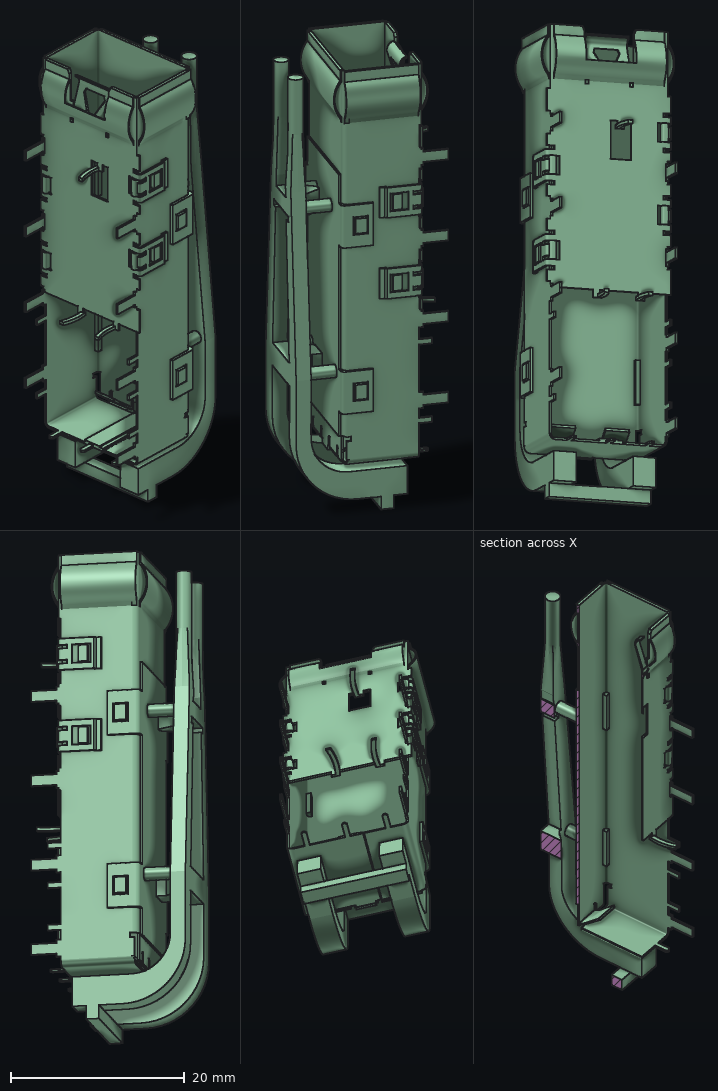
import cadquery as cq
import math


OVERLAP = 0.1
SHEET_CHAMFER = 0.2

HALF_WIDTH = 7.2
DEPTH = 9.2
HEIGHT = 48.74
TOTAL_HEIGHT = 54.9
WALL = 0.25
BEND_RADIUS = 0.8
INNER_BEND_RADIUS = 0.35
FLOOR_BACK = 8.7
WALL_BOTTOM = 0.45
FOOT_HALF = 1.2
RELIEF_X = 6.6
RELIEF_TOP = 3.6
RELIEF_HOLE = 0.55
FOOT_DROP = 0.12

PLATE = 0.25
PLATE_BOTTOM = 17.9
PLATE_EAR = 7.58
EAR_TOP = 41.2

PIN_TIP = -3.5
PIN_ROOT = 0.2
PIN_WIDTH = 1.27
PIN_SHOULDER_WIDTH = 2.0
PIN_SHOULDER_TIP = -0.5
PIN_GAP = 2.7
PIN_PITCH = 10
LONG_PINS = {-1: [7.2 + PIN_PITCH * i for i in range(4)],
             1: [2.2 + PIN_PITCH * i for i in range(4)]}
SHORT_PINS = {-1: [4.7, 14.4], 1: [4.7, 9.7, 14.4]}
SHORT_PIN_TIP = -1.55
SHORT_PIN_WIDTH = 0.65
HOOKS = {-1: [22.2, 32.2], 1: [27.2, 36.9]}
HOOK_WIDTH = 3.7
HOOK_OUTER = 7.73
HOOK_TOP_Y = 4.82

COLLAR = 0.16
COLLAR_BOTTOM = 42.35
COLLAR_RIM = 47.5
BOW_BOTTOM = 42.85
BOW_PEAK = 8.145
BOW_RISE = BOW_PEAK - HALF_WIDTH
BOW_SHEET = 0.13
BOW_HALF_WIDTH = 6.75
LATCH_CUT_HALF = 3.06
LATCH_CUT_BOTTOM = 44.67
LATCH_HALF = 2.6

COVER = 0.23
COVER_BOTTOM, COVER_TOP = 3.5, 35.8
FLAP_OUTER = 7.56
FLAP_FRONT = 5.6
FLAP_HEIGHT = 5.2
FLAP_CENTERS = [9.2, 29.7]

BAIL_OUTER, BAIL_INNER = 14.5, 12.7
BAIL_TOP_Z, BAIL_LOW_Z = -1.08, -4.56
BAIL_END_Y = 1.13
BAIL_BOTTOM = HEIGHT - TOTAL_HEIGHT
BAIL_OUTER_RADIUS, BAIL_INNER_RADIUS = 7.4, 4.6
RAIL_OUT, RAIL_IN = 6.25, 3.48
ARM_LOW, ARM_HIGH = 10.8, 33.25
ROD_START, ROD_TOP = 40.2, 47.0
ROD_X = 2.97
ARM_TOP_WIDTH = 2.2
POST_RADIUS = 0.76


def block(x0, x1, y0, y1, z0, z1):
    """Box between two opposite corners, given in any order along each axis."""
    size = (abs(x1 - x0), abs(y1 - y0), abs(z1 - z0))
    center = ((x0 + x1) / 2, (y0 + y1) / 2, (z0 + z1) / 2)
    return cq.Workplane("XY").box(*size).translate(center)


def side_profile(x0, x1):
    """Workplane with local axes Y, Z at x0, and the extrusion length to x1."""
    return cq.Workplane("YZ", origin=(x0, 0, 0)), x1 - x0


def mirrored(half):
    """Full outline from its right half, mirrored across X = 0."""
    return half + [(-x, v) for x, v in reversed(half)]


def plan_prism(points, z0, z1):
    """Prism standing on an XY outline."""
    return cq.Workplane("XY", origin=(0, 0, z0)).polyline(points).close().extrude(z1 - z0)


def rounded_core(half_x, front, back, bottom, top, radius):
    """Block rounded at its back corners and, separately, at the two side edges of its floor."""
    plan = block(-half_x, half_x, front, back, bottom, top).edges("|Z and >Y").fillet(radius)
    across = block(-half_x, half_x, front, back, bottom, top).edges("|Y and <Z").fillet(radius)
    return plan.intersect(across)


def cage_shell():
    """Sheet metal box open at the mouth and the pin side, with relieved lower back corners."""
    inner_back = DEPTH - WALL
    outer = rounded_core(HALF_WIDTH, 0, DEPTH, 0, HEIGHT, BEND_RADIUS)
    inner = rounded_core(HALF_WIDTH - WALL, -1, inner_back, WALL, HEIGHT + 1, INNER_BEND_RADIUS)
    shell = outer.cut(inner)
    for side in (-1, 1):
        edge = side * HALF_WIDTH
        shell = shell.cut(block(side * RELIEF_X, edge, FLOOR_BACK, DEPTH, 0, RELIEF_TOP))
        shell = shell.cut(block(side * RELIEF_X, edge, FLOOR_BACK - RELIEF_HOLE, DEPTH,
                                RELIEF_TOP - RELIEF_HOLE, RELIEF_TOP))
        shell = shell.union(block(side * (HALF_WIDTH - WALL), edge, DEPTH - BEND_RADIUS, FLOOR_BACK,
                                  BEND_RADIUS, RELIEF_TOP - RELIEF_HOLE))
        shell = shell.cut(block(side * FOOT_HALF, edge, FLOOR_BACK, DEPTH, 0, WALL_BOTTOM))
    return shell.union(block(-FOOT_HALF, FOOT_HALF, inner_back, DEPTH, -FOOT_DROP, WALL_BOTTOM))


SEAM_LEFT, SEAM_STEP, SEAM_RIGHT = -1.05, 1.25, 1.8
SEAM_GROOVE = 0.15


def add_floor_seam(body):
    """Stepped upper leaf of the floor seam with a groove along its right edge."""
    body = body.union(block(SEAM_LEFT, SEAM_STEP, 0, FLOOR_BACK, WALL / 2, 2 * WALL))
    body = body.union(block(SEAM_STEP, SEAM_RIGHT, 0, FLOOR_BACK, WALL / 2, 1.5 * WALL))
    return body.cut(block(SEAM_RIGHT, SEAM_RIGHT + SEAM_GROOVE, 0, FLOOR_BACK, WALL / 2, WALL))


LATCH_TAB_X = 3.3
LATCH_TAB_HALF = 1.46
TAB_SLIT_HALF = 1.91
TAB_SLIT_TOP = 1.75
TAB_TIP_Y, TAB_TIP_Z = 6.0, 3.05
TAB_ROOT_Z, TAB_ELBOW = 0.7, (8.1, 1.35)
TAB_SHEET = 0.3
TAB_TIP_BEVEL = 0.1


def add_back_tabs(body):
    """Spring tabs hanging between slits in the back wall and folded up into the cage."""
    for side in (-1, 1):
        center = side * LATCH_TAB_X
        left, right = center - LATCH_TAB_HALF, center + LATCH_TAB_HALF
        slits = block(center - TAB_SLIT_HALF, center + TAB_SLIT_HALF,
                      DEPTH - WALL, DEPTH, 0, TAB_SLIT_TOP)
        slits = slits.edges("|Y and >Z").chamfer(SHEET_CHAMFER)
        body = body.cut(slits.cut(block(left, right, 0, DEPTH, 0, TAB_SLIT_TOP)))
        elbow_y, elbow_z = TAB_ELBOW
        plane, length = side_profile(left, right)
        tab = (plane.moveTo(DEPTH, TAB_ROOT_Z - TAB_SHEET)
               .lineTo(DEPTH, TAB_ROOT_Z)
               .lineTo(DEPTH - WALL, TAB_ROOT_Z + TAB_SHEET / 2)
               .lineTo(elbow_y, elbow_z)
               .lineTo(TAB_TIP_Y + TAB_TIP_BEVEL, TAB_TIP_Z)
               .lineTo(TAB_TIP_Y, TAB_TIP_Z - TAB_SHEET)
               .lineTo(elbow_y, elbow_z - TAB_SHEET)
               .close().extrude(length))
        body = body.union(tab)
    return body


HOOK_NOTCH_X = 6.66
HOOK_NOTCH_HALF = 2.3
HOOK_SHEET = 0.25
FOLD_RADIUS = 0.4
HOOK_STEP_Y, HOOK_FOOT_Y = 4.0, 4.25
HOOK_SLOT_HALF = 1.1
HOOK_SLOT_IN = 6.0
HOOK_SLOT_Y = 0.85
RIB_X = (6.45, 7.3)
RIB_RADIUS = 0.3
TONGUE_HALF = 0.68
HOOK_WINDOW_Y = (1.42, 3.63)
HOOK_BUMP_Y = (2.2, 3.25)
HOOK_BUMP_HALF = 0.95


def hook(side, z):
    """Plate strip folded along the side wall, slotted at the fold and windowed above."""
    low, high = z - HOOK_WIDTH / 2, z + HOOK_WIDTH / 2
    slot_low, slot_high = z - HOOK_SLOT_HALF, z + HOOK_SLOT_HALF
    sheet_in = HOOK_OUTER - HOOK_SHEET
    fold_mid = FOLD_RADIUS * (1 - math.sqrt(0.5))
    sheet = (cq.Workplane("XY", origin=(0, 0, low))
             .moveTo(side * HOOK_NOTCH_X, -PLATE)
             .lineTo(side * (HOOK_OUTER - FOLD_RADIUS), -PLATE)
             .threePointArc((side * (HOOK_OUTER - fold_mid), fold_mid - PLATE),
                            (side * HOOK_OUTER, FOLD_RADIUS - PLATE))
             .lineTo(side * HOOK_OUTER, HOOK_STEP_Y)
             .lineTo(side * sheet_in, HOOK_FOOT_Y)
             .lineTo(side * sheet_in, HOOK_TOP_Y)
             .lineTo(side * HALF_WIDTH, HOOK_TOP_Y)
             .lineTo(side * HALF_WIDTH, HOOK_STEP_Y)
             .lineTo(side * sheet_in, HOOK_STEP_Y)
             .lineTo(side * sheet_in, 0)
             .lineTo(side * HOOK_NOTCH_X, 0)
             .close().extrude(HOOK_WIDTH))
    window = block(side * HALF_WIDTH, side * HOOK_OUTER, *HOOK_WINDOW_Y, slot_low, slot_high)
    bump = block(side * HALF_WIDTH, side * HOOK_OUTER, *HOOK_BUMP_Y,
                 z - HOOK_BUMP_HALF, z + HOOK_BUMP_HALF)
    fold_slot = block(side * HOOK_NOTCH_X, side * HOOK_OUTER, -PLATE, HOOK_SLOT_Y, slot_low, slot_high)
    tongue = block(side * HALF_WIDTH, side * HOOK_OUTER, -PLATE, HOOK_SLOT_Y,
                   z - TONGUE_HALF, z + TONGUE_HALF)
    rib = block(side * RIB_X[0], side * RIB_X[1], PIN_SHOULDER_TIP, PIN_ROOT, slot_low, slot_high)
    rib = rib.edges("|Z and <Y").fillet(RIB_RADIUS)
    return sheet.cut(window).cut(fold_slot.cut(tongue)).union(bump).union(rib)


def side_pin(side, z, width, tip):
    """Flat pin in the plane of a side wall."""
    return block(side * (HALF_WIDTH - WALL), side * HALF_WIDTH, tip, PIN_ROOT,
                 z - width / 2, z + width / 2)


def side_pins():
    """All pins of both side walls, long ones with a wider shoulder."""
    pins = cq.Workplane("XY")
    for side in (-1, 1):
        for z in LONG_PINS[side]:
            pins = pins.add(side_pin(side, z, PIN_WIDTH, PIN_TIP))
            pins = pins.add(side_pin(side, z, PIN_SHOULDER_WIDTH, PIN_SHOULDER_TIP))
        for z in SHORT_PINS[side]:
            pins = pins.add(side_pin(side, z, SHORT_PIN_WIDTH, SHORT_PIN_TIP))
    return pins


FLOOR_PIN_X = 4.8
FLOOR_PIN_TIP = -1.75
FLOOR_PIN_HALF = 0.3


def floor_pins():
    """Short pointed pins along the floor edge."""
    pins = cq.Workplane("XY")
    for x in (-FLOOR_PIN_X, 0, FLOOR_PIN_X):
        pin = block(x - FLOOR_PIN_HALF, x + FLOOR_PIN_HALF, FLOOR_PIN_TIP, PIN_ROOT, 0, WALL)
        pins = pins.add(pin.edges("|Z and <Y").chamfer(SHEET_CHAMFER))
    return pins


WINDOW_X = (0.2, 2.75)
WINDOW_Z = (33.4, 37.93)
TAILS = [(1.5, WINDOW_Z[1], 1), (-1.5, PLATE_BOTTOM, -1), (4.0, PLATE_BOTTOM, 1)]
TAIL_HALF = 0.4
TAIL_DROP = 0.9
TAIL_SHEET = 0.4
TAIL_PIN_HALF = 0.27
TAIL_ROOT_SHIFT, TAIL_WAIST_SHIFT, TAIL_TIP_SHIFT = 0.35, 0.45, 0.05


def curved_tail(x, edge_z, lean):
    """Tab below a plate edge, folded to -Y into a pin whose tip leans along X."""
    low = edge_z - TAIL_DROP
    tab = block(x - TAIL_HALF, x + TAIL_HALF, -PLATE, 0, low, edge_z + OVERLAP)
    root = x - lean * TAIL_ROOT_SHIFT
    waist = x - lean * TAIL_WAIST_SHIFT
    tip = x - lean * TAIL_TIP_SHIFT
    half = TAIL_PIN_HALF
    waist_y = PIN_TIP / 2
    pin = (cq.Workplane("XY", origin=(0, 0, low))
           .moveTo(root - half, 0)
           .lineTo(root + half, 0)
           .threePointArc((waist + half, waist_y), (tip + half, PIN_TIP))
           .lineTo(tip - half, PIN_TIP)
           .threePointArc((waist - half, waist_y), (root - half, 0))
           .close().extrude(TAIL_SHEET))
    return tab.union(pin)


def front_plate():
    """Pin-side plate with notched edge ears, folded hooks, a window and curved tails."""
    plate = block(-HALF_WIDTH, HALF_WIDTH, -PLATE, 0, PLATE_BOTTOM, HEIGHT)
    for side in (-1, 1):
        ear = block(side * HALF_WIDTH, side * PLATE_EAR, -PLATE, 0, PLATE_BOTTOM, EAR_TOP)
        for z in LONG_PINS[side]:
            ear = ear.cut(block(side * HALF_WIDTH, side * PLATE_EAR, -PLATE, 0,
                                z - PIN_GAP / 2, z + PIN_GAP / 2))
        plate = plate.union(ear)
        for z in HOOKS[side]:
            plate = plate.cut(block(side * HOOK_NOTCH_X, side * PLATE_EAR, -PLATE, 0,
                                    z - HOOK_NOTCH_HALF, z + HOOK_NOTCH_HALF))
            plate = plate.cut(block(side * HOOK_SLOT_IN, side * HOOK_NOTCH_X, -PLATE, 0,
                                    z - HOOK_SLOT_HALF, z + HOOK_SLOT_HALF))
            plate = plate.union(hook(side, z))
    plate = plate.cut(block(*WINDOW_X, -PLATE, 0, *WINDOW_Z))
    for x, edge_z, lean in TAILS:
        plate = plate.union(curved_tail(x, edge_z, lean))
    return plate


BOW_Y = (0.1, 9.0)
COLLAR_STUB_X = 2.72
COLLAR_STUB = 0.36


def collar_strip(plane, wall, width):
    """Rim, arched spring and skirt on one wall; local axes are the outward direction and Z."""
    middle = (BOW_BOTTOM + COLLAR_RIM) / 2
    return (plane.moveTo(wall, HEIGHT)
            .lineTo(wall + COLLAR, HEIGHT)
            .lineTo(wall + COLLAR, COLLAR_RIM)
            .threePointArc((wall + BOW_RISE, middle), (wall + COLLAR, BOW_BOTTOM))
            .lineTo(wall, COLLAR_BOTTOM)
            .lineTo(wall, BOW_BOTTOM + BOW_SHEET)
            .threePointArc((wall + BOW_RISE - BOW_SHEET, middle), (wall, COLLAR_RIM - BOW_SHEET))
            .close().extrude(width))


def collar():
    """Four separate spring strips around the mouth, with two small stubs below the front one."""
    parts = cq.Workplane("XY")
    for side in (-1, 1):
        start_y = BOW_Y[1] if side > 0 else BOW_Y[0]
        side_frame = cq.Plane(origin=(0, start_y, 0), xDir=(side, 0, 0), normal=(0, -side, 0))
        parts = parts.add(collar_strip(cq.Workplane(side_frame), HALF_WIDTH, BOW_Y[1] - BOW_Y[0]))
        wall = DEPTH if side > 0 else PLATE
        face_frame = cq.Plane(origin=(-side * BOW_HALF_WIDTH, 0, 0),
                              xDir=(0, side, 0), normal=(side, 0, 0))
        parts = parts.add(collar_strip(cq.Workplane(face_frame), wall, 2 * BOW_HALF_WIDTH))
        stub = side * COLLAR_STUB_X
        parts = parts.add(block(stub - COLLAR_STUB / 2, stub + COLLAR_STUB / 2,
                                -PLATE - BOW_SHEET, 0, COLLAR_BOTTOM - COLLAR_STUB, COLLAR_BOTTOM + OVERLAP))
    return parts


LIP_BEND_Z, LIP_TOP_Z = 46.8, 48.0
TONGUE_IN_Y = 1.0
TONGUE_SHEET = 0.2
LIP_TIP_Y = 0.17
LIP_OUTER_MID, LIP_INNER_MID = (0.75, 47.65), (0.6, 47.5)
TONGUE_BOTTOM = 43.5
LATCH_CUT_DEPTH = 3
LATCH_HOLE = [(0.45, 43.8), (1.6, 45.95), (1.4, 46.45)]
FLARE_WIDTH, FLARE_HEIGHT = 0.25, 0.5


def add_latch(body):
    """Latch tongue sloping inward in the flared mouth cutout, its lip curled back outward."""
    half_cut = [(LATCH_CUT_HALF, LATCH_CUT_BOTTOM), (LATCH_CUT_HALF, HEIGHT - FLARE_HEIGHT),
                (LATCH_CUT_HALF + FLARE_WIDTH, HEIGHT)]
    body = body.cut(cq.Workplane("XZ").polyline(mirrored(half_cut)).close().extrude(LATCH_CUT_DEPTH))
    body = body.cut(block(-LATCH_HALF, LATCH_HALF, -PLATE, 0, TONGUE_BOTTOM, LATCH_CUT_BOTTOM))
    plane, length = side_profile(-LATCH_HALF, LATCH_HALF)
    tongue = (plane.moveTo(-PLATE, TONGUE_BOTTOM)
              .lineTo(0, TONGUE_BOTTOM)
              .lineTo(TONGUE_IN_Y, LIP_BEND_Z)
              .threePointArc(LIP_OUTER_MID, (LIP_TIP_Y, LIP_TOP_Z))
              .lineTo(LIP_TIP_Y, LIP_TOP_Z - TONGUE_SHEET)
              .threePointArc(LIP_INNER_MID, (TONGUE_IN_Y - TONGUE_SHEET, LIP_BEND_Z))
              .lineTo(-PLATE, TONGUE_BOTTOM + TONGUE_SHEET)
              .close().extrude(length))
    hole = (cq.Workplane("XZ", origin=(0, TONGUE_IN_Y, 0))
            .polyline(mirrored(LATCH_HOLE)).close().extrude(TONGUE_IN_Y + PLATE))
    return body.union(tongue.cut(hole))


WRAP_RADIUS = 0.5
FLAP_WINDOW_Y = (6.23, 8.0)
FLAP_WINDOW_HALF = 1.1
FLAP_BUMP_Y = (6.42, 7.8)
FLAP_BUMP_HALF = 0.92


def back_cover():
    """Cover sheet on the back wall with two latching flaps along each side wall."""
    cover_half = HALF_WIDTH - BEND_RADIUS
    cover = block(-cover_half, cover_half, DEPTH, DEPTH + COVER, COVER_BOTTOM, COVER_TOP)
    for z in FLAP_CENTERS:
        low, high = z - FLAP_HEIGHT / 2, z + FLAP_HEIGHT / 2
        wrap = block(-FLAP_OUTER, FLAP_OUTER, FLAP_FRONT, DEPTH + COVER, low, high)
        wrap = wrap.edges("|Z and >Y").fillet(WRAP_RADIUS)
        wrap = wrap.cut(block(-HALF_WIDTH, HALF_WIDTH, FLAP_FRONT, DEPTH - BEND_RADIUS, low, high))
        wrap = wrap.cut(block(-cover_half, cover_half, FLAP_FRONT, DEPTH, low, high))
        for side in (-1, 1):
            wrap = wrap.cut(block(side * HALF_WIDTH, side * FLAP_OUTER, *FLAP_WINDOW_Y,
                                  z - FLAP_WINDOW_HALF, z + FLAP_WINDOW_HALF))
            wrap = wrap.union(block(side * HALF_WIDTH, side * HOOK_OUTER, *FLAP_BUMP_Y,
                                    z - FLAP_BUMP_HALF, z + FLAP_BUMP_HALF))
        cover = cover.union(wrap)
    return cover


BAIL_THICKNESS = BAIL_OUTER - BAIL_INNER
FOOT_X = (RAIL_IN + RAIL_OUT) / 2
POSTS = [(FOOT_X, 11.0), (ROD_X, 30.8)]
POST_ROOT = BAIL_INNER + 0.5
LIP_BAR_Y = (2.78, 4.3)
WEB_END = 10.0
WEB_STEP_Y = 12.1
UPPER_WEB_Z, UPPER_WEB_STEP = (29.2, 31.9), 29.9
LOWER_WEB_Z = (9.15, 12.0)
UPPER_WEB = [(2.6, BAIL_OUTER), (2.6, BAIL_INNER), (2.0, BAIL_INNER), (0.4, WEB_END)]
LOWER_WEB = [(4.0, BAIL_OUTER), (4.0, BAIL_INNER), (3.0, BAIL_INNER), (1.55, 11.2), (1.55, WEB_END)]


def bail_arm(side):
    """One light pipe: foot rail, bend, slanting arm and round rod."""
    mid_y = (BAIL_OUTER + BAIL_INNER) / 2
    outer_c = (BAIL_OUTER - BAIL_OUTER_RADIUS, BAIL_LOW_Z + BAIL_OUTER_RADIUS)
    inner_c = (BAIL_INNER - BAIL_INNER_RADIUS, BAIL_TOP_Z + BAIL_INNER_RADIUS)
    diagonal = math.sqrt(0.5)
    plane, length = side_profile(RAIL_IN, RAIL_OUT)
    rail = (plane.moveTo(BAIL_END_Y, BAIL_LOW_Z)
            .lineTo(outer_c[0], BAIL_LOW_Z)
            .threePointArc((outer_c[0] + BAIL_OUTER_RADIUS * diagonal,
                            outer_c[1] - BAIL_OUTER_RADIUS * diagonal),
                           (BAIL_OUTER, outer_c[1]))
            .lineTo(BAIL_OUTER, ARM_LOW)
            .lineTo(BAIL_INNER, ARM_LOW)
            .lineTo(BAIL_INNER, inner_c[1])
            .threePointArc((inner_c[0] + BAIL_INNER_RADIUS * diagonal,
                            inner_c[1] - BAIL_INNER_RADIUS * diagonal),
                           (inner_c[0], BAIL_TOP_Z))
            .lineTo(BAIL_END_Y, BAIL_TOP_Z)
            .close().extrude(length))
    arm = (cq.Workplane("XY", origin=(FOOT_X, mid_y, ARM_LOW)).rect(RAIL_OUT - RAIL_IN, BAIL_THICKNESS)
           .workplane(offset=ARM_HIGH - ARM_LOW).center(ROD_X - FOOT_X, 0)
           .rect(ARM_TOP_WIDTH, BAIL_THICKNESS).loft(ruled=True))
    neck = (cq.Workplane("XY", origin=(ROD_X, mid_y, ARM_HIGH)).rect(ARM_TOP_WIDTH, BAIL_THICKNESS)
            .workplane(offset=ROD_START - ARM_HIGH).circle(BAIL_THICKNESS / 2).loft(ruled=True))
    rod = (cq.Workplane("XY", origin=(ROD_X, mid_y, ROD_START))
           .circle(BAIL_THICKNESS / 2).extrude(ROD_TOP - ROD_START))
    pipe = rail.union(arm).union(neck).union(rod)
    for x, z in POSTS:
        post = (cq.Workplane("XZ", origin=(x, POST_ROOT, z))
                .circle(POST_RADIUS).extrude(POST_ROOT - DEPTH))
        pipe = pipe.union(post)
    return pipe if side > 0 else pipe.mirror("YZ")


def bail():
    """Both light pipes with the bar and the webs that join them."""
    body = bail_arm(-1).union(bail_arm(1))
    body = body.union(block(-RAIL_OUT, RAIL_OUT, *LIP_BAR_Y, BAIL_BOTTOM, BAIL_LOW_Z))
    for half, heights in ((UPPER_WEB, UPPER_WEB_Z), (LOWER_WEB, LOWER_WEB_Z)):
        body = body.union(plan_prism(mirrored(half), *heights))
    return body.cut(block(-ROD_X, ROD_X, WEB_STEP_Y, BAIL_OUTER, UPPER_WEB_Z[0], UPPER_WEB_STEP))


cage = add_back_tabs(add_floor_seam(cage_shell()))
cage = cage.union(front_plate())
cage = cage.union(side_pins()).union(floor_pins()).union(collar())
cage = add_latch(cage)
part = cage.union(back_cover()).union(bail())
result = cq.Workplane(part.solids().val())